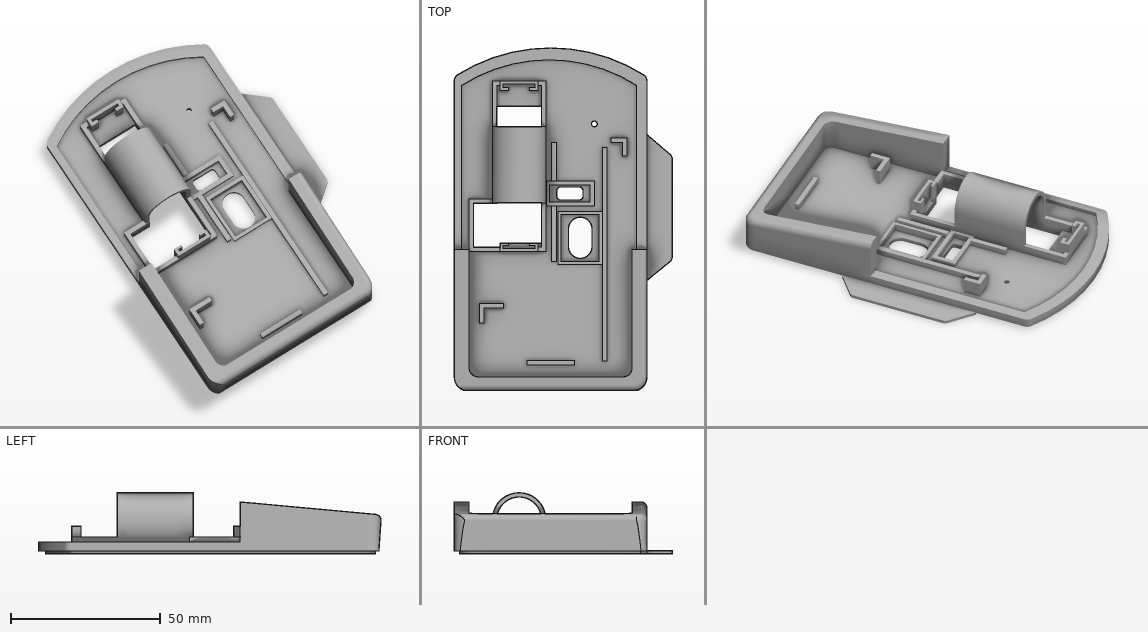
import cadquery as cq
import math

BODY_WIDTH = 64.4
BODY_LENGTH = 114.47
OVERALL_WIDTH = 72.84
OVERALL_HEIGHT = 20.47
CUT_MARGIN = 1.0
EMBED = 0.5

BODY_BOTTOM = 0.95
LARGE_RECESS_FLOOR = 1.3
SMALL_RECESS_FLOOR = 1.7
FLOOR_TOP = 2.5
RIM_TOP = 4.0
GUIDE_TOP = 4.7
CHANNEL_RIB_TOP = 5.7
CORNER_POST_TOP = 7.9
BRACKET_TOP = 9.3

REAR_ARC_RADIUS = 58.3
REAR_CORNER_RADIUS = 2.5
RIM_LEFT = 2.5
RIM_RIGHT = 3.5
RIM_REAR = 4.0

WALL_REAR_Y = 47.1
WALL_REAR_TOP = 17.4
WALL_SLOPE = math.radians(5.24)
WALL_SIDE = 5.0
WALL_FRONT = 4.6
WALL_POCKET_RADIUS = 3.0
WALL_EDGE_RADIUS = 2.1
FRONT_DRAFT = math.radians(4.0)
CORNER_OVERHANG = 0.2
FRONT_CORNER_RADIUS = 4.8

FOOT_LEFT = 1.7
FOOT_RIGHT = 2.1
FOOT_FRONT_Y = 1.8
FOOT_REAR = 2.4
FOOT_CORNER_RADIUS = 5.0

TAB_THICKNESS = 1.1
TAB_ROOT_FRONT_Y = 36.8
TAB_ROOT_REAR_Y = 85.5
TAB_TIP_FRONT_Y = 43.7
TAB_TIP_REAR_Y = 78.3
TAB_CORNER_RADIUS = 2.0

RIB = 1.5
CHANNEL_LEFT = 12.75
CHANNEL_RIGHT = 30.6
CHANNEL_FRONT = 46.4
CHANNEL_REAR = 103.4
BAY_LEFT = 4.95
BAY_REAR = 64.05
ARCH_FRONT = 62.7
ARCH_REAR = 88.2
OPENING_REAR = 94.9

BRACKET_LEFT = 15.3
BRACKET_RIGHT = 28.0
BRACKET_WALL = 1.05
BRACKET_SLOT = 1.05
BRACKET_LIP = 1.75
REAR_BRACKET_DEPTH = 3.2
FRONT_BRACKET_DEPTH = 2.85

RIGHT_GUIDE = (49.5, 51.1, 9.9, 81.2)
LEFT_GUIDE = (32.55, 34.1, 43.2, 82.9)
FRONT_STOP = (24.3, 40.1, 8.5, 10.0)

REAR_POST_CORNER = (57.75, 84.3)
REAR_POST_LEGS = (5.35, 6.0)
FRONT_POST_CORNER = (8.5, 29.1)
FRONT_POST_LEGS = (7.9, 6.45)

SMALL_FRAME = (30.85, 46.8, 61.6, 70.1)
SMALL_RECESS = (31.85, 45.4, 63.05, 68.7)
SMALL_HOLE = (34.3, 43.0, 63.7, 68.0)
SMALL_HOLE_RADIUS = 1.2
LARGE_FRAME = (34.7, RIGHT_GUIDE[0], 42.2, 59.9)
LARGE_RECESS = (35.7, 48.3, 43.2, 58.8)
LARGE_SLOT_CENTER = (42.1, 51.05)
LARGE_SLOT_LENGTH = 13.7
LARGE_SLOT_WIDTH = 7.8

PIN_HOLE_CENTER = (46.8, 89.1)
PIN_HOLE_DIAMETER = 1.85


def box(x0, x1, y0, y1, z0, z1):
    """Axis-aligned block given by its limits."""
    return cq.Workplane("XY").box(x1 - x0, y1 - y0, z1 - z0, centered=False).translate((x0, y0, z0))


def arched_prism(x0, x1, y0, apex_y, radius, z0, z1):
    """Upright prism whose rear side is an arc with the given apex and radius."""
    middle_x = (x0 + x1) / 2
    half_width = (x1 - x0) / 2
    shoulder_y = apex_y - radius + math.sqrt(radius**2 - half_width**2)
    return (
        cq.Workplane("XY", origin=(0, 0, z0))
        .moveTo(x0, y0)
        .lineTo(x1, y0)
        .lineTo(x1, shoulder_y)
        .threePointArc((middle_x, apex_y), (x0, shoulder_y))
        .close()
        .extrude(z1 - z0)
    )


def tray_outline():
    """Plan outline of the tray with rounded corners, as tall as the wall."""
    outline = arched_prism(
        0, BODY_WIDTH, -CORNER_OVERHANG, BODY_LENGTH, REAR_ARC_RADIUS, BODY_BOTTOM, WALL_REAR_TOP
    )
    outline = outline.edges("|Z").edges("<Y").fillet(FRONT_CORNER_RADIUS)
    return outline.edges("|Z").edges(">Y").fillet(REAR_CORNER_RADIUS)


def tray_side_profile():
    """Side outline: low rim behind, sloped wall with a leaning front face ahead of it."""
    top_edge_y = -WALL_EDGE_RADIUS * math.tan(FRONT_DRAFT)
    top_edge_z = WALL_REAR_TOP - (WALL_REAR_Y - top_edge_y) * math.tan(WALL_SLOPE)
    bottom_edge_y = top_edge_y + (top_edge_z - BODY_BOTTOM) * math.tan(FRONT_DRAFT)
    return (
        cq.Workplane("YZ")
        .moveTo(bottom_edge_y, BODY_BOTTOM)
        .lineTo(BODY_LENGTH, BODY_BOTTOM)
        .lineTo(BODY_LENGTH, RIM_TOP)
        .lineTo(WALL_REAR_Y, RIM_TOP)
        .lineTo(WALL_REAR_Y, WALL_REAR_TOP)
        .lineTo(top_edge_y, top_edge_z)
        .close()
        .extrude(BODY_WIDTH)
    )


def round_wall_top(shell):
    """Round the front, right corner and right edges of the sloped top; the left edge stays sharp."""
    front_and_right = cq.selectors.BoxSelector(
        (FRONT_CORNER_RADIUS, -CUT_MARGIN, RIM_TOP),
        (BODY_WIDTH + CUT_MARGIN, WALL_REAR_Y - CUT_MARGIN, WALL_REAR_TOP),
    )
    return shell.faces(">Z").edges(front_and_right).fillet(WALL_EDGE_RADIUS)


def tray():
    shell = round_wall_top(tray_outline().intersect(tray_side_profile()))
    rear_recess = arched_prism(
        RIM_LEFT,
        BODY_WIDTH - RIM_RIGHT,
        WALL_REAR_Y,
        BODY_LENGTH - RIM_REAR,
        REAR_ARC_RADIUS - RIM_REAR,
        FLOOR_TOP,
        RIM_TOP + CUT_MARGIN,
    )
    front_recess = box(
        WALL_SIDE, BODY_WIDTH - WALL_SIDE, WALL_FRONT, WALL_REAR_Y, FLOOR_TOP, WALL_REAR_TOP + CUT_MARGIN
    )
    front_recess = front_recess.edges("|Z").edges("<Y").fillet(WALL_POCKET_RADIUS)
    return shell.cut(rear_recess).cut(front_recess)


def foot_plate():
    plate = arched_prism(
        FOOT_LEFT,
        BODY_WIDTH - FOOT_RIGHT,
        FOOT_FRONT_Y,
        BODY_LENGTH - FOOT_REAR,
        REAR_ARC_RADIUS - FOOT_REAR,
        0,
        BODY_BOTTOM,
    )
    plate = plate.edges("|Z").edges("<Y").fillet(FOOT_CORNER_RADIUS)
    return plate.edges("|Z").edges(">Y").fillet(REAR_CORNER_RADIUS)


def side_tab():
    root_x = BODY_WIDTH - RIM_RIGHT
    tab = (
        cq.Workplane("XY")
        .moveTo(root_x, TAB_ROOT_FRONT_Y)
        .lineTo(BODY_WIDTH, TAB_ROOT_FRONT_Y)
        .lineTo(OVERALL_WIDTH, TAB_TIP_FRONT_Y)
        .lineTo(OVERALL_WIDTH, TAB_TIP_REAR_Y)
        .lineTo(BODY_WIDTH, TAB_ROOT_REAR_Y)
        .lineTo(root_x, TAB_ROOT_REAR_Y)
        .close()
        .extrude(TAB_THICKNESS)
    )
    return tab.edges("|Z").edges(">X").fillet(TAB_CORNER_RADIUS)


def arch(inset, y0, y1, z0):
    """Round-topped prism along Y spanning the channel, shrunk by inset."""
    radius = (CHANNEL_RIGHT - CHANNEL_LEFT) / 2
    middle_x = (CHANNEL_LEFT + CHANNEL_RIGHT) / 2
    spring_z = OVERALL_HEIGHT - radius
    return (
        cq.Workplane("XZ", origin=(0, y1, 0))
        .moveTo(CHANNEL_LEFT + inset, z0)
        .lineTo(CHANNEL_LEFT + inset, spring_z)
        .threePointArc((middle_x, OVERALL_HEIGHT - inset), (CHANNEL_RIGHT - inset, spring_z))
        .lineTo(CHANNEL_RIGHT - inset, z0)
        .close()
        .extrude(y1 - y0)
    )


def add_battery_channel(part):
    """Ribbed border and arch, hollowed to the floor, with an opening through the floor."""
    base = FLOOR_TOP - EMBED
    inner_left = CHANNEL_LEFT + RIB
    inner_right = CHANNEL_RIGHT - RIB
    bay_inner_left = BAY_LEFT + RIB
    bay_inner_front = CHANNEL_FRONT + RIB
    bay_inner_rear = BAY_REAR - RIB
    ledge_y = CHANNEL_FRONT + FRONT_BRACKET_DEPTH

    part = part.union(box(CHANNEL_LEFT, CHANNEL_RIGHT, ARCH_FRONT, CHANNEL_REAR, base, CHANNEL_RIB_TOP))
    part = part.union(box(BAY_LEFT, CHANNEL_RIGHT, CHANNEL_FRONT, BAY_REAR, base, CHANNEL_RIB_TOP))
    part = part.union(arch(0, ARCH_FRONT, ARCH_REAR, base))

    part = part.cut(arch(RIB, bay_inner_rear, CHANNEL_REAR - RIB, FLOOR_TOP))
    part = part.cut(
        box(bay_inner_left, inner_right, bay_inner_front, bay_inner_rear, FLOOR_TOP, OVERALL_HEIGHT)
    )

    part = part.cut(box(inner_left, inner_right, ledge_y, OPENING_REAR, -CUT_MARGIN, FLOOR_TOP))
    part = part.cut(box(bay_inner_left, inner_left, ledge_y, bay_inner_rear, -CUT_MARGIN, FLOOR_TOP))
    return part.cut(
        box(bay_inner_left, BRACKET_LEFT, bay_inner_front, ledge_y, -CUT_MARGIN, FLOOR_TOP)
    )


def add_bracket(part, back_y, direction, depth):
    """C-shaped contact holder; its mouth faces along direction (+1 or -1) in Y."""

    def span(inset, near, far, z0, z1):
        y_near = back_y + direction * near
        y_far = back_y + direction * far
        return box(
            BRACKET_LEFT + inset, BRACKET_RIGHT - inset, min(y_near, y_far), max(y_near, y_far), z0, z1
        )

    slot_end = BRACKET_WALL + BRACKET_SLOT
    cut_top = BRACKET_TOP + CUT_MARGIN
    holder = span(0, 0, depth, FLOOR_TOP - EMBED, BRACKET_TOP)
    slot = span(BRACKET_WALL, BRACKET_WALL, slot_end, FLOOR_TOP, cut_top)
    mouth = span(BRACKET_WALL + BRACKET_LIP, slot_end, depth, FLOOR_TOP, cut_top)
    return part.union(holder).cut(slot).cut(mouth)


def add_guides(part):
    for limits in (RIGHT_GUIDE, LEFT_GUIDE, FRONT_STOP):
        part = part.union(box(*limits, FLOOR_TOP - EMBED, GUIDE_TOP))
    return part


def add_corner_post(part, corner, legs, x_direction):
    """L-shaped post; one leg runs along x_direction, the other toward the front."""
    corner_x, corner_y = corner
    leg_x, leg_y = legs
    base = FLOOR_TOP - EMBED
    end_x = corner_x + x_direction * leg_x
    inner_x = corner_x + x_direction * RIB
    part = part.union(
        box(min(corner_x, end_x), max(corner_x, end_x), corner_y - RIB, corner_y, base, CORNER_POST_TOP)
    )
    return part.union(
        box(min(corner_x, inner_x), max(corner_x, inner_x), corner_y - leg_y, corner_y, base, CORNER_POST_TOP)
    )


def add_window(part, frame, recess, recess_floor, hole):
    """Raised frame around a recess with a through hole; guide ribs stop at the frame."""
    part = part.union(box(*frame, FLOOR_TOP - EMBED, RIM_TOP))
    part = part.cut(box(*frame, RIM_TOP, GUIDE_TOP))
    part = part.cut(box(*recess, recess_floor, GUIDE_TOP))
    return part.cut(hole)


def small_hole():
    return box(*SMALL_HOLE, -CUT_MARGIN, FLOOR_TOP).edges("|Z").fillet(SMALL_HOLE_RADIUS)


def large_slot():
    return (
        cq.Workplane("XY", origin=(0, 0, -CUT_MARGIN))
        .center(*LARGE_SLOT_CENTER)
        .slot2D(LARGE_SLOT_LENGTH, LARGE_SLOT_WIDTH, 90)
        .extrude(FLOOR_TOP + CUT_MARGIN)
    )


def pin_hole():
    return (
        cq.Workplane("XY", origin=(0, 0, -CUT_MARGIN))
        .center(*PIN_HOLE_CENTER)
        .circle(PIN_HOLE_DIAMETER / 2)
        .extrude(FLOOR_TOP + 2 * CUT_MARGIN)
    )


result = tray().union(foot_plate()).union(side_tab())
result = add_guides(result)
result = add_battery_channel(result)
result = add_bracket(result, CHANNEL_REAR, -1, REAR_BRACKET_DEPTH)
result = add_bracket(result, CHANNEL_FRONT, 1, FRONT_BRACKET_DEPTH)
result = add_corner_post(result, REAR_POST_CORNER, REAR_POST_LEGS, -1)
result = add_corner_post(result, FRONT_POST_CORNER, FRONT_POST_LEGS, 1)
result = add_window(result, SMALL_FRAME, SMALL_RECESS, SMALL_RECESS_FLOOR, small_hole())
result = add_window(result, LARGE_FRAME, LARGE_RECESS, LARGE_RECESS_FLOOR, large_slot())
result = result.cut(pin_hole())